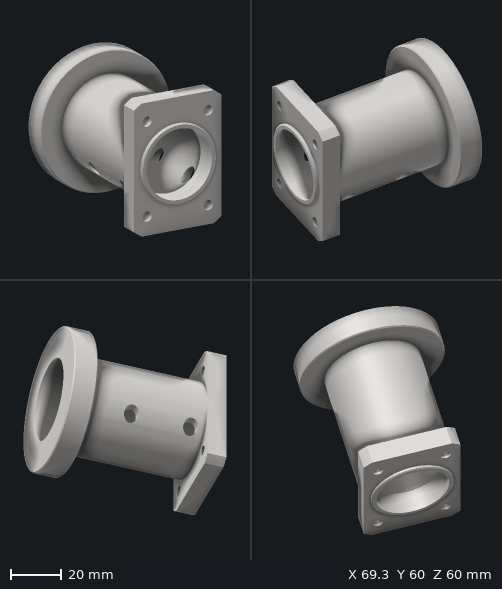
import cadquery as cq

total_length = 69.3
flange_thickness = 10.0
tube_length = 50.0
plate_thickness = 8.0
tube_end = flange_thickness + tube_length
plate_end = tube_end + plate_thickness
spigot_length = total_length - plate_end

flange_diameter = 60.0
tube_diameter = 40.0
spigot_diameter = 34.0
bore_diameter = spigot_diameter
end_bore_diameter = 30.0
edge_chamfer = 0.5

plate_width = tube_diameter
plate_height = 56.1
plate_corner_diameter = 65.0
bolt_hole_diameter = 4.2
bolt_spacing_y = 28.0
bolt_spacing_z = 40.0

cross_hole_diameter = 6.0
cross_hole_pitch = 25.0
last_cross_hole_to_plate = 6.0
cross_hole_z = -11.2


def cylinder(diameter, start, length):
    """Cylinder on the X axis, beginning at X = start."""
    return cq.Workplane("YZ", origin=(start, 0, 0)).circle(diameter / 2).extrude(length)


def make_flange():
    flange = cylinder(flange_diameter, 0, flange_thickness)
    return flange.edges().chamfer(edge_chamfer)


def make_end_plate():
    plane = cq.Workplane("YZ", origin=(tube_end, 0, 0))
    plate = plane.rect(plate_width, plate_height).extrude(plate_thickness)
    plate = plate.intersect(cylinder(plate_corner_diameter, tube_end, plate_thickness))
    bolt_holes = (
        plane.rect(bolt_spacing_y, bolt_spacing_z, forConstruction=True)
        .vertices()
        .circle(bolt_hole_diameter / 2)
        .extrude(plate_thickness)
    )
    return plate.cut(bolt_holes)


def make_spigot():
    spigot = cylinder(spigot_diameter, plate_end, spigot_length)
    return spigot.faces(">X").edges().chamfer(edge_chamfer)


def make_cross_holes():
    last_x = tube_end - last_cross_hole_to_plate
    centers = [(last_x - cross_hole_pitch, cross_hole_z), (last_x, cross_hole_z)]
    holes = cq.Workplane("XZ").pushPoints(centers).circle(cross_hole_diameter / 2)
    return holes.extrude(tube_diameter / 2, both=True)


body = (
    make_flange()
    .union(cylinder(tube_diameter, flange_thickness, tube_length))
    .union(make_end_plate())
    .union(make_spigot())
)

result = (
    body.cut(cylinder(bore_diameter, 0, tube_end))
    .cut(cylinder(end_bore_diameter, 0, total_length))
    .cut(make_cross_holes())
)